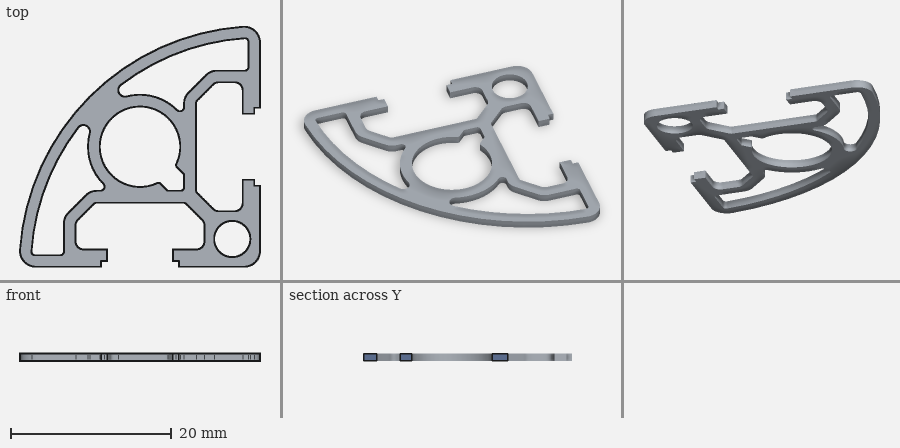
import cadquery as cq
import math

side = 29.92
thickness = 1.0
wall = 1.47
corner_radius = 2.0
sector_radius = corner_radius + math.hypot(side - corner_radius, corner_radius)

slot_center = side / 2
slot_depth = 7.95
slot_half_width = 8.02
slot_chamfer = 2.4
slot_corner_radius = 1.0
slot_floor_radius = 0.35
lip_depth = 2.18
mouth_half_width = 4.1
step_depth = 0.72
step_half_width = 4.85

bore_radius = 5.0
web_thickness = 1.53
web_face = slot_depth + web_thickness
notch_side = 2.03
notch_corner_radius = 0.42
notch_tip_radius = 0.35

ring_thickness = 1.5
ring_radius = bore_radius + ring_thickness
chamber_arc_radius = sector_radius - wall
chamber_tip_radius = 0.8
chamber_root_radius = 0.5
chamber_corner_radius = 0.42
chamber_bend_radius = slot_floor_radius + wall

corner_hole_diameter = 4.5
corner_hole_offset = 3.47


def on_arc(center, radius, angle):
    return (center[0] + radius * math.cos(angle), center[1] + radius * math.sin(angle))


def direction(start, end):
    return math.atan2(end[1] - start[1], end[0] - start[0])


def round_corners(body, corners, radius):
    """Fillet the upright edge at each (x, y) corner."""
    for x, y in corners:
        edge = cq.selectors.NearestToPointSelector((x, y, thickness / 2))
        body = body.edges("|Z").edges(edge).fillet(radius)
    return body


def mirrored(body):
    """Return the body reflected across the line y = -x."""
    return body.rotate((0, 0, 0), (0, 0, 1), 90).mirror("XZ")


def make_sector():
    sector = (
        cq.Workplane()
        .lineTo(0, sector_radius)
        .threePointArc(on_arc((0, 0), sector_radius, math.radians(135)), (-sector_radius, 0))
        .close()
        .extrude(thickness)
    )
    corners = [(0, 0), (0, sector_radius), (-sector_radius, 0)]
    return round_corners(sector, corners, corner_radius)


def make_slot():
    """T-slot opening on the +X side, with a stepped mouth."""
    floor_half_width = slot_half_width - slot_chamfer
    half_outline = [
        (0, step_half_width),
        (-step_depth, step_half_width),
        (-step_depth, mouth_half_width),
        (-lip_depth, mouth_half_width),
        (-lip_depth, slot_half_width),
        (-slot_depth + slot_chamfer, slot_half_width),
        (-slot_depth, floor_half_width),
    ]
    other_half = [(x, -y) for x, y in reversed(half_outline)]
    slot = (
        cq.Workplane(origin=(0, slot_center, 0))
        .polyline(half_outline + other_half)
        .close()
        .extrude(thickness)
    )
    for sign in (-1, 1):
        wide_y = slot_center + sign * slot_half_width
        floor_y = slot_center + sign * floor_half_width
        wide_corners = [(-lip_depth, wide_y), (-slot_depth + slot_chamfer, wide_y)]
        slot = round_corners(slot, wide_corners, slot_corner_radius)
        slot = round_corners(slot, [(-slot_depth, floor_y)], slot_floor_radius)
    return slot


def make_chamber():
    """Hollow beside the +X slot, ending in a round tip between ring and curved wall."""
    ring_center = (-slot_center, slot_center)
    center_distance = math.hypot(*ring_center)
    tip_distance = chamber_arc_radius - chamber_tip_radius
    tip_to_ring = ring_radius + chamber_tip_radius
    cosine = (tip_distance**2 + center_distance**2 - tip_to_ring**2) / (2 * tip_distance * center_distance)
    tip_angle = math.radians(135) - math.acos(cosine)
    tip_center = on_arc((0, 0), tip_distance, tip_angle)
    ring_tip_angle = direction(ring_center, tip_center)

    arc_end = (-wall, math.sqrt(chamber_arc_radius**2 - wall**2))
    arc_end_angle = direction((0, 0), arc_end)
    shelf_y = slot_center + slot_half_width + wall
    outer_corner = (-wall, shelf_y)
    diagonal_sum = slot_center + slot_half_width + slot_depth - slot_chamfer + wall * math.sqrt(2)
    shelf_bend = (shelf_y - diagonal_sum, shelf_y)
    web_bend = (-web_face, diagonal_sum - web_face)
    root_angle = math.acos((slot_center - web_face) / ring_radius)
    root = on_arc(ring_center, ring_radius, root_angle)

    chamber = (
        cq.Workplane()
        .polyline([arc_end, outer_corner, shelf_bend, web_bend, root])
        .threePointArc(
            on_arc(ring_center, ring_radius, (root_angle + ring_tip_angle) / 2),
            on_arc(ring_center, ring_radius, ring_tip_angle),
        )
        .threePointArc(
            on_arc(tip_center, chamber_tip_radius, math.pi + (tip_angle + ring_tip_angle - math.pi) / 2),
            on_arc((0, 0), chamber_arc_radius, tip_angle),
        )
        .threePointArc(on_arc((0, 0), chamber_arc_radius, (tip_angle + arc_end_angle) / 2), arc_end)
        .close()
        .extrude(thickness)
    )
    chamber = round_corners(chamber, [arc_end, outer_corner], chamber_corner_radius)
    chamber = round_corners(chamber, [shelf_bend, web_bend], chamber_bend_radius)
    return round_corners(chamber, [root], chamber_root_radius)


def make_bore():
    """Round bore joined to a notch whose 45 degree flanks run into the bore."""
    reach = slot_center - web_face - notch_side
    near = web_face
    far = web_face + notch_side
    notch = (
        cq.Workplane()
        .polyline([(-near, near), (-far, near), (-far - reach, near + reach),
                   (-near - reach, far + reach), (-near, far)])
        .close()
        .extrude(thickness)
    )
    notch = round_corners(notch, [(-near, near)], notch_corner_radius)
    bore = cq.Workplane(origin=(-slot_center, slot_center, 0)).circle(bore_radius).extrude(thickness)
    bore = bore.union(notch)
    flank_angle = math.asin(notch_side / math.sqrt(2) / bore_radius)
    tips = [
        on_arc((-slot_center, slot_center), bore_radius, math.radians(-45) + sign * flank_angle)
        for sign in (-1, 1)
    ]
    return round_corners(bore, tips, notch_tip_radius)


def make_corner_hole():
    return (
        cq.Workplane(origin=(-corner_hole_offset, corner_hole_offset, 0))
        .circle(corner_hole_diameter / 2)
        .extrude(thickness)
    )


result = make_sector().cut(make_bore()).cut(make_corner_hole())
for opening in (make_slot(), make_chamber()):
    result = result.cut(opening).cut(mirrored(opening))